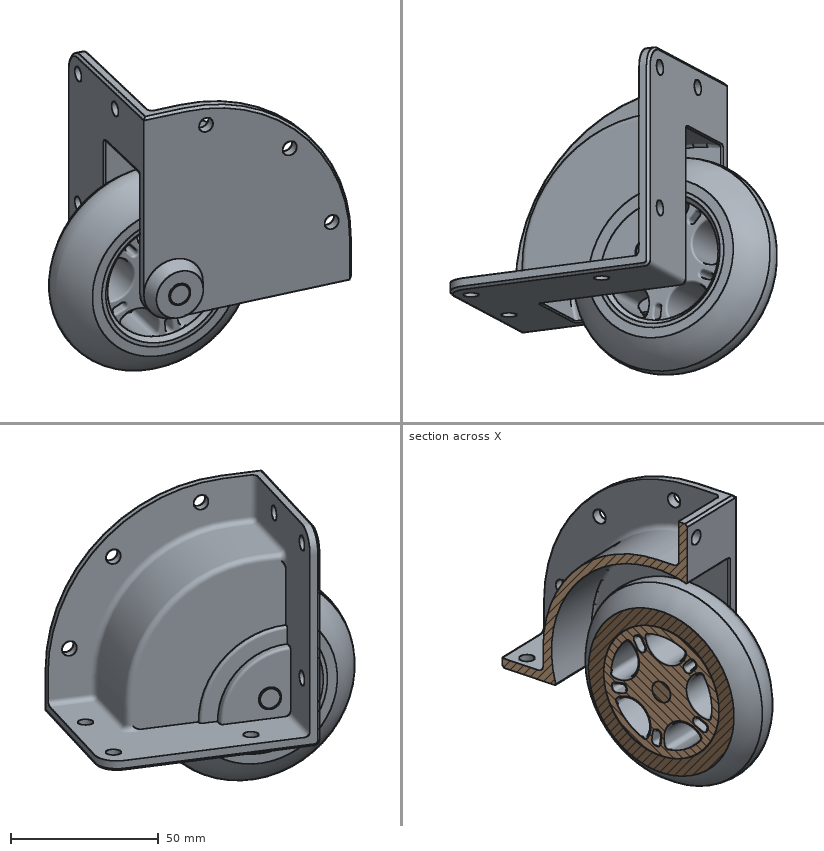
import cadquery as cq
import math


plate_edge = 11.1
plate_size = 78.1
plate_width = 60.0
plate_thickness = 3.8
plate_corner_radius = 8.0
plate_chamfer = 0.9
inner_fillet = 2.0
outer_edge_radius = 2.0
flange_radius = 62.7
flange_outer_x = 17.5
mount_hole_radius = 2.6
mount_hole_near = 10.9
mount_hole_far = 60.1
mount_hole_left_x = -34.2
mount_hole_right_x = -5.2
flange_hole_circle = 55.6
flange_hole_angles = (8.2, 45, 81.8)

fender_center = 1.9
fender_radius = 48.0
fender_edge_radius = 2.0
cavity_radius = fender_radius - plate_thickness
cavity_fillet = 1.0
mouth_chamfer = 0.6

boss_height = 5.0
low_disc_height = 1.7
low_disc_radius = 31.2
high_disc_radius = 25.0
disc_edge_radius = 0.9
cone_tip_radius = 8.8

axle_radius = 4.0
axle_edge_radius = 0.4
tyre_radius = 37.5
tyre_half_width = 11.8
tyre_side_radius = 27.7
tyre_shoulder = (8.3, 33.0)
tyre_crown_half_width = 2.7
tyre_crown_edge_radius = 37.1
rim_outer_radius = 24.1
rim_lip_radius = 22.7
rim_inner_radius = 21.1
web_half_width = 10.0
spoke_count = 5
first_spoke_angle = -12
window_center_radius = 19.8
window_radius = 8.0
window_corner_radius = 1.9
slot_center_radius = 18.1
slot_length = 5.2
slot_width = 2.4
opening_edge_radius = 0.7

plate_left_x = flange_outer_x - plate_width
plate_far = plate_size - plate_edge
flange_inner_x = flange_outer_x - plate_thickness
plate_inner = plate_thickness - plate_edge
flange_center = plate_far - flange_radius
fender_left_x = -flange_outer_x
fender_reach = fender_center + fender_radius
drum_round_x = fender_left_x + fender_edge_radius
boss_left_x = fender_left_x - boss_height
boss_right_x = flange_outer_x + boss_height
cavity_half_width = flange_inner_x


def side_plane(x):
    """Plane facing +X whose local axes are world Y and Z."""
    return cq.Workplane("YZ", origin=(x, 0, 0))


def x_cylinder(radius, x_start, x_end):
    return side_plane(x_start).circle(radius).extrude(x_end - x_start)


def swap_y_and_z(body):
    return body.mirror("XY").rotate((0, 0, 0), (1, 0, 0), 90)


def quarter_outline(plane, corner, center, radius):
    """Square corner at Y = Z = corner, closed by a quarter arc at the back and top."""
    reach = center + radius
    middle = center + radius * math.sqrt(0.5)
    return (
        plane.moveTo(corner, corner)
        .lineTo(reach, corner)
        .lineTo(reach, center)
        .threePointArc((middle, middle), (center, reach))
        .lineTo(corner, reach)
        .close()
    )


def base_plate():
    return (
        cq.Workplane("XY", origin=(0, 0, -plate_edge))
        .moveTo(plate_left_x, -plate_edge)
        .lineTo(flange_outer_x, -plate_edge)
        .lineTo(flange_outer_x, plate_far)
        .lineTo(plate_left_x, plate_far)
        .close()
        .extrude(plate_thickness)
        .edges("|Z and <X and >Y")
        .fillet(plate_corner_radius)
    )


def front_plate():
    """The base plate mirrored across the plane Y = Z."""
    return swap_y_and_z(base_plate())


def back_flange():
    outline = quarter_outline(side_plane(flange_inner_x), -plate_edge, flange_center, flange_radius)
    return outline.extrude(plate_thickness)


def three_wall_shell():
    """Base, front plate and flange, with chamfered outer rims."""
    shell = base_plate().union(front_plate()).union(back_flange())
    shell = shell.edges("<Y and <Z").fillet(outer_edge_radius)
    rims = (
        shell.faces("<Z").edges("not (>X or <Y)")
        .add(shell.faces("<Y").edges("not (>X or <Z)"))
        .add(shell.faces(">X").edges(">Y"))
    )
    return rims.chamfer(plate_chamfer)


def drum(left_x):
    outline = quarter_outline(side_plane(left_x), plate_inner, fender_center, fender_radius)
    return outline.extrude(flange_inner_x - left_x)


def round_inner_corners(shell):
    """Fillet every concave edge where the walls meet each other and the drum."""
    drum_middle_x = (drum_round_x + flange_inner_x) / 2
    left_middle_x = (plate_left_x + drum_round_x) / 2
    drum_straight_middle = (plate_inner + fender_center) / 2
    wall_middle = (fender_reach + plate_far) / 2
    arc_centroid = fender_center + fender_radius * 2 / math.pi
    base_points = [
        (drum_middle_x, fender_reach, plate_inner),
        (flange_inner_x, wall_middle, plate_inner),
        (flange_inner_x, fender_reach, drum_straight_middle),
    ]
    front_points = [(x, z, y) for x, y, z in base_points]
    shared_points = [
        (left_middle_x, plate_inner, plate_inner),
        (flange_inner_x, arc_centroid, arc_centroid),
    ]
    edges = [
        shell.edges(cq.NearestToPointSelector(point)).val()
        for point in base_points + front_points + shared_points
    ]
    return shell.newObject(edges).fillet(inner_fillet)


def fender_foot():
    """Round flare where the rear left corner of the drum stands on the base."""
    top = plate_inner + inner_fillet
    reach = fender_edge_radius + inner_fillet
    bend = inner_fillet * (1 - math.sqrt(0.5))
    profile = (
        cq.Workplane("XZ", origin=(drum_round_x, fender_reach - fender_edge_radius, 0))
        .moveTo(0, plate_inner)
        .lineTo(reach, plate_inner)
        .threePointArc((fender_edge_radius + bend, plate_inner + bend), (fender_edge_radius, top))
        .lineTo(0, top)
        .close()
    )
    return profile.revolve(360, (0, 0, 0), (0, 1, 0))


def shell_with_fender():
    shell = round_inner_corners(three_wall_shell().union(drum(drum_round_x)))
    rounded_drum = drum(fender_left_x).faces("<X").edges("not (<Y or <Z)").fillet(fender_edge_radius)
    shell = shell.union(rounded_drum)
    return shell.union(fender_foot()).union(swap_y_and_z(fender_foot()))


def fender_disc(radius, height):
    """Quarter disc on the fender side, centred on the inner corner of base and front plate."""
    disc = x_cylinder(radius, fender_left_x, fender_left_x - height)
    quarter = side_plane(fender_left_x).rect(radius, radius, centered=False).extrude(-height)
    rounded = disc.faces("<X").edges().fillet(disc_edge_radius).intersect(quarter)
    return rounded.translate((0, plate_inner, plate_inner))


def axle_bosses():
    """Two stacked quarter discs on the fender side and a cone on the flange side."""
    discs = fender_disc(low_disc_radius, low_disc_height).union(fender_disc(high_disc_radius, boss_height))
    cone = (
        side_plane(flange_outer_x)
        .circle(plate_edge)
        .workplane(offset=boss_height)
        .circle(cone_tip_radius)
        .loft()
    )
    return discs.union(cone)


def wheel_cavity():
    """Drum-shaped space for the wheel, open to the front and below."""
    return (
        side_plane(-cavity_half_width)
        .center(fender_center, fender_center)
        .circle(cavity_radius)
        .extrude(2 * cavity_half_width)
        .edges()
        .fillet(cavity_fillet)
    )


def chamfer_mouth(body):
    """Bevel the edge of the opening that the wheel cavity leaves in the front plate and base."""
    opening_top = math.sqrt(cavity_radius**2 - (plate_edge + fender_center)**2) + fender_center
    spot = (0, -plate_edge, opening_top)
    return body.edges(cq.NearestToPointSelector(spot)).chamfer(mouth_chamfer)


def flange_corner_cut():
    """Rounds the lower front corner of the flange about the axle."""
    corner = (
        side_plane(cavity_half_width)
        .rect(-plate_edge, -plate_edge, centered=False)
        .extrude(plate_thickness)
    )
    return corner.cut(x_cylinder(plate_edge, cavity_half_width, flange_outer_x))


def mount_holes():
    spots = [
        (mount_hole_left_x, mount_hole_near),
        (mount_hole_left_x, mount_hole_far),
        (mount_hole_right_x, mount_hole_far),
    ]
    base_holes = (
        cq.Workplane("XY", origin=(0, 0, -plate_edge))
        .pushPoints(spots)
        .circle(mount_hole_radius)
        .extrude(plate_thickness)
    )
    flange_spots = [
        (
            flange_center + flange_hole_circle * math.cos(math.radians(angle)),
            flange_center + flange_hole_circle * math.sin(math.radians(angle)),
        )
        for angle in flange_hole_angles
    ]
    flange_holes = (
        side_plane(flange_inner_x).pushPoints(flange_spots).circle(mount_hole_radius).extrude(plate_thickness)
    )
    return base_holes.union(swap_y_and_z(base_holes)).union(flange_holes)


def make_housing():
    body = shell_with_fender().union(axle_bosses())
    body = chamfer_mouth(body.cut(wheel_cavity())).cut(flange_corner_cut()).cut(mount_holes())
    return body.cut(x_cylinder(axle_radius, boss_left_x, boss_right_x))


def make_axle():
    return x_cylinder(axle_radius, boss_left_x, boss_right_x).faces("|X").edges().chamfer(axle_edge_radius)


def revolve_about_axle(half_profile):
    return half_profile.revolve(360, (0, 0, 0), (1, 0, 0))


def make_tyre():
    shoulder_x, shoulder_radius = tyre_shoulder
    profile = (
        cq.Workplane("XY")
        .moveTo(-tyre_half_width, rim_outer_radius)
        .lineTo(-tyre_half_width, tyre_side_radius)
        .threePointArc((-shoulder_x, shoulder_radius), (-tyre_crown_half_width, tyre_crown_edge_radius))
        .threePointArc((0, tyre_radius), (tyre_crown_half_width, tyre_crown_edge_radius))
        .threePointArc((shoulder_x, shoulder_radius), (tyre_half_width, tyre_side_radius))
        .lineTo(tyre_half_width, rim_outer_radius)
        .close()
    )
    return revolve_about_axle(profile)


def spoke_window():
    """Large round opening flattened by the rim, centred on the +Y direction."""
    window = (
        side_plane(-web_half_width)
        .center(window_center_radius, 0)
        .circle(window_radius)
        .extrude(2 * web_half_width)
        .intersect(x_cylinder(rim_inner_radius, -web_half_width, web_half_width))
    )
    return window.edges("|X").fillet(window_corner_radius)


def spoke_slot():
    return (
        side_plane(-web_half_width)
        .center(slot_center_radius, 0)
        .slot2D(slot_length, slot_width)
        .extrude(2 * web_half_width)
    )


def spoked_web():
    """Flat web with its openings rounded at both ends."""
    web = x_cylinder(rim_outer_radius, -web_half_width, web_half_width)
    spoke_step = 360 / spoke_count
    for spoke in range(spoke_count):
        angle = first_spoke_angle + spoke * spoke_step
        web = web.cut(spoke_slot().rotate((0, 0, 0), (1, 0, 0), angle))
        web = web.cut(spoke_window().rotate((0, 0, 0), (1, 0, 0), angle + spoke_step / 2))
    opening_edges = [
        edge for face in web.faces("|X").vals()
        for opening in face.innerWires()
        for edge in opening.Edges()
    ]
    web = web.newObject(opening_edges).fillet(opening_edge_radius)
    return web.cut(x_cylinder(axle_radius, -web_half_width, web_half_width))


def rim_hoop():
    profile = (
        cq.Workplane("XY")
        .moveTo(-web_half_width, rim_inner_radius)
        .lineTo(-tyre_half_width, rim_lip_radius)
        .lineTo(-tyre_half_width, rim_outer_radius)
        .lineTo(tyre_half_width, rim_outer_radius)
        .lineTo(tyre_half_width, rim_lip_radius)
        .lineTo(web_half_width, rim_inner_radius)
        .close()
    )
    return revolve_about_axle(profile)


def make_rim():
    return spoked_web().union(rim_hoop())


housing = make_housing()
axle = make_axle()
tyre = make_tyre()
rim = make_rim()
result = cq.Compound.makeCompound([housing.val(), axle.val(), tyre.val(), rim.val()])